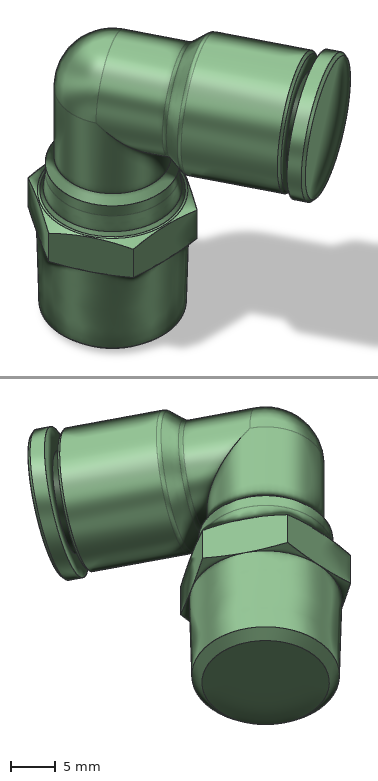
import cadquery as cq
import math

total_height = 40.3
branch_end = 25.0
pipe_radius = 6.53
sleeve_radius = 8.15
branch_height = total_height - sleeve_radius

thread_base_radius = 8.5
thread_tip_radius = 8.22
thread_chamfer_width = 1.13
thread_chamfer_height = 1.05

hex_bottom = 12.05
hex_top = 17.13
hex_across_flats = 17.0
hex_corner_radius = hex_across_flats / math.sqrt(3)
hex_top_land_radius = 8.4
hex_top_bevel_height = 0.6
hex_bottom_land_radius = hex_across_flats / 2
hex_bottom_bevel_height = 0.35

collar_radius = 7.5
collar_flare_radius = 8.1
collar_foot_radius = 7.75
collar_foot_height = 0.45
collar_taper_top = 19.65
collar_straight_top = 21.1
collar_top = collar_straight_top + collar_radius - pipe_radius

neck_end = 7.98
sleeve_start = 10.08
sleeve_end = 21.85
sleeve_blend_radius = 0.8
sleeve_end_chamfer = 0.32

stem_radius = 5.85
flange_start = 22.97
flange_width = 18.5
flange_height = 16.05
flange_chamfer = 0.35


def turned(profile):
    """Revolve (radius, height) points about Z."""
    return cq.Workplane("XZ").polyline(profile).close().revolve(360, (0, 0), (0, 1))


def branch_plane(x):
    """Plane across the branch, centred on its axis; local x is Y and local y is Z."""
    return cq.Workplane("YZ", origin=(x, 0, branch_height))


def make_thread():
    return turned([
        (0, 0),
        (thread_tip_radius - thread_chamfer_width, 0),
        (thread_tip_radius, thread_chamfer_height),
        (thread_base_radius, hex_bottom),
        (0, hex_bottom),
    ])


def make_hexagon():
    """Hexagon with its corners bevelled at both ends."""
    prism = (
        cq.Workplane("XY", origin=(0, 0, hex_bottom))
        .polygon(6, 2 * hex_corner_radius)
        .extrude(hex_top - hex_bottom)
    )
    bevels = turned([
        (0, hex_bottom),
        (hex_bottom_land_radius, hex_bottom),
        (hex_corner_radius, hex_bottom + hex_bottom_bevel_height),
        (hex_corner_radius, hex_top - hex_top_bevel_height),
        (hex_top_land_radius, hex_top),
        (0, hex_top),
    ])
    return prism.intersect(bevels)


def make_collar():
    """Flared foot, slight taper, straight band and a 45 degree bevel up to the pipe."""
    return turned([
        (0, hex_top),
        (collar_flare_radius, hex_top),
        (collar_foot_radius, hex_top + collar_foot_height),
        (collar_radius, collar_taper_top),
        (collar_radius, collar_straight_top),
        (pipe_radius, collar_top),
        (0, collar_top),
    ])


def make_elbow():
    """Vertical pipe closed by a ball centred where the two axes cross."""
    riser = (
        cq.Workplane("XY", origin=(0, 0, collar_top))
        .circle(pipe_radius)
        .extrude(branch_height - collar_top)
    )
    ball = cq.Workplane("XY", origin=(0, 0, branch_height)).sphere(pipe_radius)
    return riser.union(ball)


def make_branch():
    """Neck, flared sleeve with rounded shoulders, and bevelled mouth."""
    profile = [
        (0, 0),
        (0, pipe_radius),
        (neck_end, pipe_radius),
        (sleeve_start, sleeve_radius),
        (sleeve_end - sleeve_end_chamfer, sleeve_radius),
        (sleeve_end, sleeve_radius - sleeve_end_chamfer),
        (sleeve_end, 0),
    ]
    body = (
        cq.Workplane("XZ", origin=(0, 0, branch_height))
        .polyline(profile)
        .close()
        .revolve(360, (0, 0), (1, 0))
    )
    shoulder_edges = cq.selectors.BoxSelector(
        (neck_end - sleeve_blend_radius, -sleeve_radius, branch_height - sleeve_radius),
        (sleeve_start + sleeve_blend_radius, sleeve_radius, branch_height + sleeve_radius),
    )
    return body.edges("%CIRCLE").edges(shoulder_edges).fillet(sleeve_blend_radius)


def make_release_button():
    stem = branch_plane(sleeve_end).circle(stem_radius).extrude(flange_start - sleeve_end)
    flange = (
        branch_plane(flange_start)
        .ellipse(flange_width / 2, flange_height / 2)
        .extrude(branch_end - flange_start)
        .faces(">X")
        .chamfer(flange_chamfer)
    )
    return stem.union(flange)


result = make_thread()
for section in (make_hexagon(), make_collar(), make_elbow(), make_branch(), make_release_button()):
    result = result.union(section)